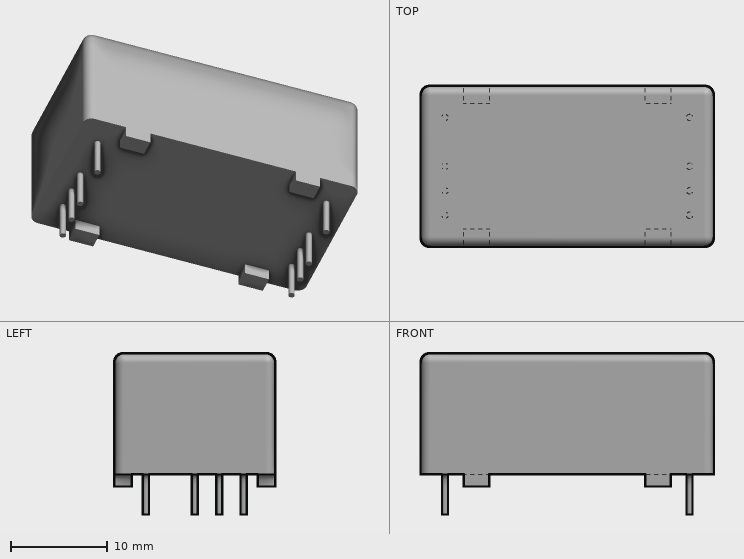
import cadquery as cq

case_length = 30.48
case_width = 16.76
overall_height = 16.79
edge_radius = 1.0

pin_diameter = 0.66
pin_length = 4.19
pin_pitch = 2.54
pin_row_x = 5 * pin_pitch
pin_steps = (-2, -1, 0, 2)

foot_length = 2.67
foot_width = 1.85
foot_height = 1.27
foot_x = 9.42

case_height = overall_height - pin_length
foot_y = (case_width - foot_width) / 2
ends = (-1, 1)


def make_case():
    """Box with rounded upright and top edges; the underside edges stay sharp."""
    box = cq.Workplane("XY").box(
        case_length, case_width, case_height, centered=(True, True, False)
    )
    return box.edges("|Z or >Z").fillet(edge_radius)


def make_pins():
    """Both end rows of pins, hanging from the underside."""
    places = [(end * pin_row_x, step * pin_pitch) for end in ends for step in pin_steps]
    return cq.Workplane("XY").pushPoints(places).circle(pin_diameter / 2).extrude(-pin_length)


def make_feet():
    """Four rectangular feet, mirrored about both centre planes."""
    places = [(end * foot_x, side * foot_y) for end in ends for side in ends]
    return cq.Workplane("XY").pushPoints(places).rect(foot_length, foot_width).extrude(-foot_height)


result = make_case().union(make_pins(), clean=False).union(make_feet(), clean=False)